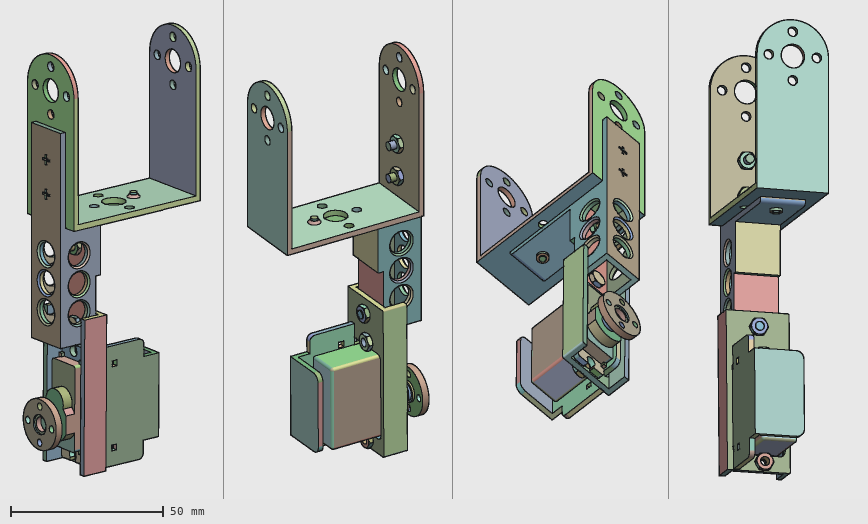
import cadquery as cq
import math


SHEET = 2.0

FORK_WIDTH = 24.6
FORK_DEPTH = 53.0
FORK_ARM_THICKNESS = 1.8
FORK_HEIGHT = 57.8
FORK_RADIUS = FORK_WIDTH / 2
EYE_Z = FORK_HEIGHT - FORK_RADIUS
EYE_DIAMETER = 8.0
BOLT_HOLE_DIAMETER = 3.2
BOLT_CIRCLE_RADIUS = 8.25

STRAP_WIDTH = 15.4
STRAP_TOP = 33.0
STRAP_BOTTOM = -41.2
TUBE_DEPTH = 14.8
TUBE_FRONT = -SHEET
TUBE_BACK = TUBE_FRONT + TUBE_DEPTH
LIGHTENING_DIAMETER = 8.0
LIGHTENING_CHAMFER = 0.6
LIGHTENING_Y = 5.8
LIGHTENING_TOP_Z = -10.5
LIGHTENING_PITCH = 10.0
LIGHTENING_COUNT = 3

ANGLE_BACK = TUBE_BACK + SHEET
ANGLE_END = 42.2
ANGLE_DROP = 19.1
ANGLE_END_RADIUS = 1.5

SCREW_DIAMETER = 3.0
SCREW_LENGTH = 8.0
NUT_FLATS = 5.5
NUT_THICKNESS = 1.8
NUT_CHAMFER = 0.4
CROSS_LENGTH = 3.5
CROSS_WIDTH = 0.7
CROSS_DEPTH = 1.2
STRAP_SCREW_HEIGHTS = (10.1, 22.0)
ANGLE_SCREW_Z = -10.0
PIVOT_Z = -37.2
RIVET_HEAD_DIAMETER = 4.4
RIVET_NECK_DIAMETER = 2.8
RIVET_HEAD_HEIGHT = 1.0
RIVET_TIP_DIAMETER = 2.39
RIVET_TIP_HEIGHT = 1.7
RIVET_FOOT_DIAMETER = 4.2
RIVET_FOOT_HEIGHT = 0.9
RIVET_END_HEIGHT = 1.4

TILT = 0.5
HOLDER_X = 0.1
HOLDER_WIDTH = 21.7
HOLDER_RADIUS = 0.5
HOLDER_HEIGHT = 54.0
HOLDER_BOTTOM = -85.96
HOLDER_FRONT = 5.6
HOLDER_BACK = ANGLE_BACK
WINDOW_WIDTH = 18.0
WINDOW_HEIGHT = 31.4
WINDOW_RADIUS = 2.0

SERVO_X = -1.5
SERVO_Z = -64.85
BODY_WIDTH = 12.0
BODY_HEIGHT = 29.9
BODY_FRONT = 6.7
BODY_BACK = 32.8
BODY_RADIUS = 0.9
EAR_SPAN = 40.4
EAR_THICKNESS = 2.0
EAR_RADIUS = 1.0
EAR_HOLE_DIAMETER = 3.6
EAR_HOLE_PITCH = 35.8
EAR_SLOT_WIDTH = 2.7
MOUNT_HOLE_DIAMETER = 3.0
RIB_SIZE = 1.3
SHAFT_Z = -69.55
SMALL_BOSS_DIAMETER = 9.2
SMALL_BOSS_Z = -63.0
LARGE_BOSS_DIAMETER = 13.7
BOSS_FRONT = 3.0
SHAFT_DIAMETER = 6.0
COLLAR_DIAMETER = 7.5
COLLAR_BACK = 0.1
HORN_DIAMETER = 17.48
HORN_BACK = -0.7
HORN_FRONT = -3.2
HORN_BORE = 5.03
HORN_COUNTERBORE = 6.75
HORN_COUNTERBORE_DEPTH = 0.6
HORN_HOLE_DIAMETER = 2.39
HORN_HOLE_RADIUS = 6.25

GUARD_THICKNESS = 1.9
GUARD_RIGHT = 8.8
GUARD_LEFT = -8.2
GUARD_SIDE_HEIGHT = 41.6
GUARD_SIDE_END = 32.2
GUARD_SIDE_RADIUS = 2.0
GUARD_BACK = 38.6
GUARD_LIP_FRONT = 7.5
GUARD_LIP_HEIGHT = 26.0
GUARD_LIP_RADIUS = 2.6
GUARD_HEIGHT = 29.0
GUARD_RADIUS = 2.7
GUARD_SLOT_WIDTH = 2.0
GUARD_SLOT_Y = 20.0
GUARD_SLOT_OVERLAP = 0.6


def block(x0, x1, y0, y1, z0, z1):
    return cq.Workplane("XY").box(x1 - x0, y1 - y0, z1 - z0, centered=False).translate((x0, y0, z0))


def centred_block(x, width, y0, y1, z, height):
    return block(x - width / 2, x + width / 2, y0, y1, z - height / 2, z + height / 2)


def rod_y(x, z, diameter, y0, y1):
    """Cylinder along Y from y0 to y1."""
    return cq.Workplane("XZ", origin=(x, y0, z)).circle(diameter / 2).extrude(y0 - y1)


def rod_x(y, z, diameter, x0, x1):
    """Cylinder along X from x0 to x1."""
    return cq.Workplane("YZ", origin=(x0, y, z)).circle(diameter / 2).extrude(x1 - x0)


def rod_z(x, y, diameter, z0, z1):
    """Cylinder along Z from z0 to z1."""
    return cq.Workplane("XY", origin=(x, y, z0)).circle(diameter / 2).extrude(z1 - z0)


def nut_y(x, z, y0):
    """Hexagonal nut blank along Y, flats facing up and down and corners chamfered."""
    across_corners = NUT_FLATS / math.cos(math.pi / 6)
    hexagon = cq.Workplane("XZ", origin=(x, y0, z)).polygon(6, across_corners).extrude(-NUT_THICKNESS)
    turned = rod_y(x, z, across_corners, y0, y0 + NUT_THICKNESS).edges().chamfer(NUT_CHAMFER)
    return hexagon.intersect(turned)


def bolt_circle(radius):
    return [(radius, 0), (0, radius), (-radius, 0), (0, -radius)]


def make_fork():
    arm = (
        cq.Workplane("XZ")
        .moveTo(-FORK_RADIUS, 0)
        .lineTo(FORK_RADIUS, 0)
        .lineTo(FORK_RADIUS, EYE_Z)
        .threePointArc((0, FORK_HEIGHT), (-FORK_RADIUS, EYE_Z))
        .close()
        .extrude(-FORK_DEPTH)
    )
    gap_back = FORK_DEPTH - FORK_ARM_THICKNESS
    gap = block(-FORK_WIDTH, FORK_WIDTH, FORK_ARM_THICKNESS, gap_back, SHEET, FORK_HEIGHT)
    fork = arm.cut(gap)
    base_y = FORK_DEPTH / 2
    fork = fork.cut(rod_y(0, EYE_Z, EYE_DIAMETER, 0, FORK_DEPTH))
    fork = fork.cut(rod_z(0, base_y, EYE_DIAMETER, 0, SHEET))
    for u, v in bolt_circle(BOLT_CIRCLE_RADIUS):
        fork = fork.cut(rod_y(u, EYE_Z + v, BOLT_HOLE_DIAMETER, 0, FORK_DEPTH))
        fork = fork.cut(rod_z(u, base_y + v, BOLT_HOLE_DIAMETER, 0, SHEET))
    return fork


def make_strap():
    half = STRAP_WIDTH / 2
    bar = block(-half, half, TUBE_FRONT, 0, 0, STRAP_TOP)
    tube = block(-half, half, TUBE_FRONT, TUBE_BACK, STRAP_BOTTOM, 0)
    cavity = block(-half + SHEET, half - SHEET, 0, TUBE_BACK - SHEET, STRAP_BOTTOM, 0)
    tube = tube.cut(cavity)
    rim_diameter = LIGHTENING_DIAMETER + 2 * LIGHTENING_CHAMFER
    for i in range(LIGHTENING_COUNT):
        z = LIGHTENING_TOP_Z - i * LIGHTENING_PITCH
        front_rim = cq.Workplane("XZ", origin=(0, TUBE_FRONT, z)).circle(rim_diameter / 2)
        tube = tube.cut(front_rim.extrude(-rim_diameter / 2, taper=45))
        tube = tube.cut(rod_y(0, z, LIGHTENING_DIAMETER, TUBE_FRONT, 0))
        tube = tube.cut(rod_x(LIGHTENING_Y, z, LIGHTENING_DIAMETER, -half, half))
        for side in (-1, 1):
            rim = cq.Workplane("YZ", origin=(side * half, LIGHTENING_Y, z)).circle(rim_diameter / 2)
            tube = tube.cut(rim.extrude(-side * rim_diameter / 2, taper=45))
    return bar.union(tube)


def make_angle():
    half = STRAP_WIDTH / 2
    flange = block(-half, half, TUBE_BACK, ANGLE_END, -SHEET, 0)
    flange = flange.edges(">Y and <Z").fillet(ANGLE_END_RADIUS)
    leg = block(-half, half, TUBE_BACK, ANGLE_BACK, -ANGLE_DROP, 0)
    return flange.union(leg)


def make_screws():
    """Screws holding the strap, the angle and the fork together."""
    tip = ANGLE_BACK - SCREW_LENGTH
    screws = rod_y(0, ANGLE_SCREW_Z, SCREW_DIAMETER, tip, ANGLE_BACK)
    screws = screws.union(nut_y(0, ANGLE_SCREW_Z, TUBE_BACK - SHEET - NUT_THICKNESS))
    for z in STRAP_SCREW_HEIGHTS:
        screws = screws.union(rod_y(0, z, SCREW_DIAMETER, TUBE_FRONT, TUBE_FRONT + SCREW_LENGTH))
        screws = screws.union(nut_y(0, z, FORK_ARM_THICKNESS))
    pivot_tip = TUBE_BACK - SHEET - NUT_THICKNESS + SCREW_LENGTH
    screws = screws.union(nut_y(0, PIVOT_Z, TUBE_BACK - SHEET - NUT_THICKNESS))
    screws = screws.union(rod_y(0, PIVOT_Z, SCREW_DIAMETER, TUBE_BACK - SHEET, pivot_tip))
    return screws.union(nut_y(0, PIVOT_Z, HOLDER_BACK))


def cut_cross_recesses(part):
    for z in STRAP_SCREW_HEIGHTS:
        bottom = TUBE_FRONT + CROSS_DEPTH
        part = part.cut(centred_block(0, CROSS_LENGTH, TUBE_FRONT, bottom, z, CROSS_WIDTH))
        part = part.cut(centred_block(0, CROSS_WIDTH, TUBE_FRONT, bottom, z, CROSS_LENGTH))
    return part


def make_rivet():
    """Fastener through the rear bolt hole of the fork base and the angle flange."""
    head_top = SHEET + RIVET_HEAD_HEIGHT
    foot_bottom = -SHEET - RIVET_FOOT_HEIGHT
    end_bottom = -SHEET - RIVET_END_HEIGHT
    profile = [
        (0, end_bottom),
        (RIVET_TIP_DIAMETER / 2, end_bottom),
        (RIVET_TIP_DIAMETER / 2, foot_bottom),
        (RIVET_FOOT_DIAMETER / 2, foot_bottom),
        (RIVET_FOOT_DIAMETER / 2, -SHEET),
        (BOLT_HOLE_DIAMETER / 2, -SHEET),
        (BOLT_HOLE_DIAMETER / 2, SHEET),
        (RIVET_HEAD_DIAMETER / 2, SHEET),
        (RIVET_NECK_DIAMETER / 2, head_top),
        (RIVET_TIP_DIAMETER / 2, head_top),
        (RIVET_TIP_DIAMETER / 2, SHEET + RIVET_TIP_HEIGHT),
        (0, SHEET + RIVET_TIP_HEIGHT),
    ]
    rivet = cq.Workplane("XZ").polyline(profile).close().revolve(360, (0, 0), (0, 1))
    return rivet.translate((0, FORK_DEPTH / 2 + BOLT_CIRCLE_RADIUS, 0))


def ear_hole_heights():
    return [SERVO_Z - EAR_HOLE_PITCH / 2, SERVO_Z + EAR_HOLE_PITCH / 2]


def make_holder():
    """Shallow channel with a window that the servo body passes through."""
    left = HOLDER_X - HOLDER_WIDTH / 2
    right = HOLDER_X + HOLDER_WIDTH / 2
    top = HOLDER_BOTTOM + HOLDER_HEIGHT
    web_front = HOLDER_BACK - SHEET
    holder = block(left, right, HOLDER_FRONT, HOLDER_BACK, HOLDER_BOTTOM, top)
    holder = holder.edges("<X and |Y").fillet(HOLDER_RADIUS)
    channel = block(left + SHEET, right - SHEET, HOLDER_FRONT, web_front, HOLDER_BOTTOM, top)
    holder = holder.cut(channel)
    window = centred_block(0, WINDOW_WIDTH, web_front, HOLDER_BACK, SERVO_Z, WINDOW_HEIGHT)
    holder = holder.cut(window.edges("|Y").fillet(WINDOW_RADIUS))
    for z in ear_hole_heights():
        holder = holder.union(nut_y(SERVO_X, z, HOLDER_BACK))
    for z in ear_hole_heights():
        hole = rod_y(SERVO_X, z, MOUNT_HOLE_DIAMETER, web_front, HOLDER_BACK + NUT_THICKNESS)
        holder = holder.cut(hole)
    return holder


def make_servo():
    ear_back = HOLDER_BACK - SHEET
    ear_front = ear_back - EAR_THICKNESS
    body = centred_block(SERVO_X, BODY_WIDTH, BODY_FRONT, BODY_BACK, SERVO_Z, BODY_HEIGHT)
    body = body.edges("|Y or >Y").fillet(BODY_RADIUS)
    ears = centred_block(SERVO_X, BODY_WIDTH, ear_front, ear_back, SERVO_Z, EAR_SPAN)
    ears = ears.edges("|Y").fillet(EAR_RADIUS)
    for direction, z in zip((-1, 1), ear_hole_heights()):
        ears = ears.cut(rod_y(SERVO_X, z, EAR_HOLE_DIAMETER, ear_front, ear_back))
        slot_z = z + direction * EAR_SPAN / 4
        ears = ears.cut(centred_block(SERVO_X, EAR_SLOT_WIDTH, ear_front, ear_back, slot_z, EAR_SPAN / 2))
    servo = body.union(ears)
    rib_span = BODY_HEIGHT + 2 * RIB_SIZE
    for side in (-1, 1):
        rib_x = SERVO_X + side * (BODY_WIDTH - RIB_SIZE) / 2
        servo = servo.union(
            centred_block(rib_x, RIB_SIZE, ear_front - RIB_SIZE, ear_back, SERVO_Z, rib_span)
        )
    return servo.union(make_gear_boss())


def make_gear_boss():
    small = rod_y(SERVO_X, SMALL_BOSS_Z, SMALL_BOSS_DIAMETER, BOSS_FRONT, BODY_FRONT)
    large = rod_y(SERVO_X, SHAFT_Z, LARGE_BOSS_DIAMETER, BOSS_FRONT, BODY_FRONT)
    flats = centred_block(SERVO_X, BODY_WIDTH, BOSS_FRONT, BODY_FRONT, SHAFT_Z, LARGE_BOSS_DIAMETER)
    return small.union(large.intersect(flats))


def make_horn():
    shaft = rod_y(SERVO_X, SHAFT_Z, SHAFT_DIAMETER, COLLAR_BACK, BOSS_FRONT)
    collar = rod_y(SERVO_X, SHAFT_Z, COLLAR_DIAMETER, HORN_BACK, COLLAR_BACK)
    horn = rod_y(SERVO_X, SHAFT_Z, HORN_DIAMETER, HORN_FRONT, HORN_BACK)
    recess_bottom = HORN_FRONT + HORN_COUNTERBORE_DEPTH
    horn = horn.cut(rod_y(SERVO_X, SHAFT_Z, HORN_COUNTERBORE, HORN_FRONT, recess_bottom))
    horn = horn.cut(rod_y(SERVO_X, SHAFT_Z, HORN_BORE, HORN_FRONT, HORN_BACK))
    for u, v in bolt_circle(HORN_HOLE_RADIUS):
        horn = horn.cut(rod_y(SERVO_X + u, SHAFT_Z + v, HORN_HOLE_DIAMETER, HORN_FRONT, HORN_BACK))
    return shaft.union(collar).union(horn)


def make_guard():
    inner = GUARD_RIGHT - GUARD_THICKNESS
    half_side = GUARD_SIDE_HEIGHT / 2
    half = GUARD_HEIGHT / 2
    side = block(inner, GUARD_RIGHT, HOLDER_BACK, GUARD_SIDE_END, SERVO_Z - half_side, SERVO_Z + half_side)
    side = side.edges(">Y and |X").fillet(GUARD_SIDE_RADIUS)
    for direction in (-1, 1):
        slot_z = SERVO_Z + direction * (BODY_HEIGHT / 2 + GUARD_SLOT_OVERLAP - GUARD_SLOT_WIDTH / 2)
        slot_y0 = GUARD_SLOT_Y - GUARD_SLOT_WIDTH / 2
        slot_y1 = GUARD_SLOT_Y + GUARD_SLOT_WIDTH / 2
        slot_x = inner + GUARD_THICKNESS / 2
        side = side.cut(centred_block(slot_x, GUARD_THICKNESS, slot_y0, slot_y1, slot_z, GUARD_SLOT_WIDTH))
    neck = block(inner, GUARD_RIGHT, GUARD_SIDE_END, GUARD_BACK, SERVO_Z - half, SERVO_Z + half)
    plate_front = GUARD_BACK - GUARD_THICKNESS
    plate = block(GUARD_LEFT, GUARD_RIGHT, plate_front, GUARD_BACK, SERVO_Z - half, SERVO_Z + half)
    plate = plate.edges("<X and |Y").fillet(GUARD_RADIUS)
    half_lip = GUARD_LIP_HEIGHT / 2
    lip = block(inner, GUARD_RIGHT, GUARD_LIP_FRONT, HOLDER_BACK, SERVO_Z - half_lip, SERVO_Z + half_lip)
    lip = lip.edges("<Y and |X").fillet(GUARD_LIP_RADIUS)
    return side.union(neck).union(plate).union(lip)


def make_servo_unit():
    unit = make_holder().union(make_servo()).union(make_horn()).union(make_guard())
    return unit.rotate((0, 0, PIVOT_Z), (0, 1, PIVOT_Z), TILT)


link = make_fork().union(make_strap()).union(make_angle()).union(make_servo_unit())
link = link.union(make_screws()).union(make_rivet())
result = cut_cross_recesses(link)